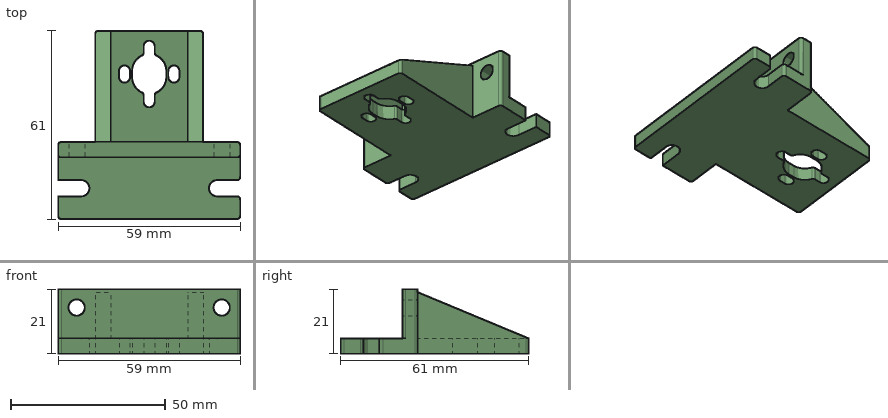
import cadquery as cq
import math

base_width = 59.0
base_depth = 25.0
plate_thickness = 5.0
wall_thickness = 5.0
wall_height = 21.0
corner_radius = 1.0

bracket_width = 35.0
bracket_length = 36.0
rib_thickness = 5.0
rib_height = 20.0

screw_diameter = 5.2
base_slot_y = 10.0
base_slot_center_x = 22.0
wall_hole_x = 23.5
wall_hole_z = 15.0

mount_y = 47.0
mount_travel = 2.0
center_opening_diameter = 11.0
mount_screw_diameter = 3.5
mount_screw_radius = 8.0
opening_corner_radius = 1.0

bracket_end_y = base_depth + bracket_length
wall_front_y = base_depth - wall_thickness


def rounded_block(width, y_start, y_end, z_start, z_end):
    """Block centred on X with its four vertical edges rounded."""
    block = cq.Workplane("XY").box(width, y_end - y_start, z_end - z_start, centered=(True, False, False))
    block = block.edges("|Z").fillet(corner_radius)
    return block.translate((0, y_start, z_start))


def make_base():
    flange = rounded_block(base_width, 0, base_depth, 0, plate_thickness)
    wall = rounded_block(base_width, wall_front_y, base_depth, plate_thickness, wall_height)
    return flange.union(wall)


def make_bracket():
    """Wedge hollowed between its two side ribs, leaving the floor plate."""
    wedge = (
        cq.Workplane("YZ")
        .moveTo(wall_front_y, 0)
        .lineTo(bracket_end_y, 0)
        .lineTo(bracket_end_y, plate_thickness)
        .lineTo(base_depth, rib_height)
        .lineTo(wall_front_y, rib_height)
        .close()
        .extrude(bracket_width / 2, both=True)
    )
    wedge = wedge.edges("|Z and >Y").fillet(corner_radius)
    channel_width = bracket_width - 2 * rib_thickness
    channel = (
        cq.Workplane("XY")
        .box(channel_width, bracket_length, rib_height, centered=(True, False, False))
        .translate((0, base_depth, plate_thickness))
    )
    return wedge.cut(channel)


def make_base_slot(side):
    """Round-ended slot opening through the side edge of the base."""
    slot_reach = base_width / 2 - base_slot_center_x
    round_end = cq.Workplane("XY").circle(screw_diameter / 2).extrude(plate_thickness)
    mouth = (
        cq.Workplane("XY")
        .center(side * slot_reach / 2, 0)
        .rect(slot_reach, screw_diameter)
        .extrude(plate_thickness)
    )
    return round_end.union(mouth).translate((side * base_slot_center_x, base_slot_y, 0))


def round_slot_mouth(part):
    """Round the two corners where the +X base slot meets the side; the -X slot stays sharp."""
    for edge_side in (-1, 1):
        corner = (base_width / 2, base_slot_y + edge_side * screw_diameter / 2, plate_thickness / 2)
        part = part.edges(cq.selectors.NearestToPointSelector(corner)).fillet(corner_radius)
    return part


def make_wall_holes():
    return (
        cq.Workplane("XZ", origin=(0, wall_front_y, 0))
        .pushPoints([(-wall_hole_x, wall_hole_z), (wall_hole_x, wall_hole_z)])
        .circle(screw_diameter / 2)
        .extrude(-wall_thickness)
    )


def make_mount_slot(x, y, diameter):
    return (
        cq.Workplane("XY")
        .center(x, y)
        .slot2D(diameter + mount_travel, diameter, 90)
        .extrude(plate_thickness)
    )


def make_mount_openings():
    """Central opening with four screw slots spaced evenly around it."""
    openings = make_mount_slot(0, mount_y, center_opening_diameter)
    for x_step, y_step in ((1, 0), (0, 1), (-1, 0), (0, -1)):
        screw_x = x_step * mount_screw_radius
        screw_y = mount_y + y_step * mount_screw_radius
        openings = openings.union(make_mount_slot(screw_x, screw_y, mount_screw_diameter))
    return round_opening_corners(openings)


def round_opening_corners(openings):
    """Round the four corners where the upper and lower screw slots run into the central opening."""
    corner_x = mount_screw_diameter / 2
    corner_y = mount_travel / 2 + math.sqrt((center_opening_diameter / 2) ** 2 - corner_x**2)
    for x_side in (-1, 1):
        for y_side in (-1, 1):
            corner = (x_side * corner_x, mount_y + y_side * corner_y, plate_thickness / 2)
            corner_edge = openings.edges(cq.selectors.NearestToPointSelector(corner))
            openings = corner_edge.fillet(opening_corner_radius)
    return openings


result = make_base().union(make_bracket())
for side in (-1, 1):
    result = result.cut(make_base_slot(side))
result = round_slot_mouth(result)
result = result.cut(make_wall_holes())
result = result.cut(make_mount_openings())